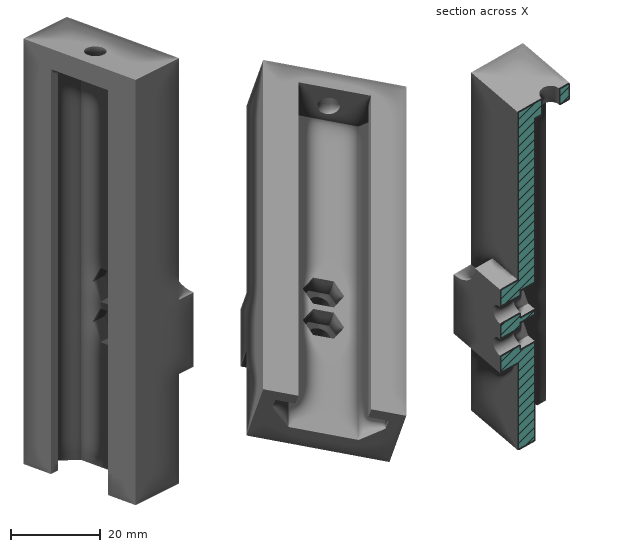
import cadquery as cq

width = 33.0
height = 105.0
body_depth = 14.9

end_wall = 5.0
mouth_width = 16.8
lip_thickness = 2.5
channel_depth = 10.0
floor_width = 16.2
cavity_width = 26.0

pad_thickness = 5.0
pad_bottom = 27.0
pad_top = 52.9
corner_radius = 7.6

bolt_diameter = 5.2
nut_corners = 9.6
nut_depth = 4.2
lower_bolt_z = 35.0
bolt_spacing = 10.0

end_hole_diameter = 5.0
end_hole_y = 5.5

back_y = body_depth + pad_thickness


def make_body():
    return cq.Workplane("XY").box(width, body_depth, height, centered=(True, False, False))


def make_pad():
    pad_height = pad_top - pad_bottom
    pad = (
        cq.Workplane("XY")
        .box(width, pad_thickness, pad_height, centered=(True, False, False))
        .translate((0, body_depth, pad_bottom))
    )
    corner_cuts = (
        cq.Workplane("XZ", origin=(0, back_y, 0))
        .pushPoints([(-width / 2, pad_top), (width / 2, pad_top)])
        .circle(corner_radius)
        .extrude(pad_thickness)
    )
    return pad.cut(corner_cuts)


def make_channel():
    mouth = mouth_width / 2
    floor = floor_width / 2
    cavity = cavity_width / 2
    slope_start_y = channel_depth - (cavity - floor)
    right_side = [
        (mouth, 0),
        (mouth, lip_thickness),
        (cavity, lip_thickness),
        (cavity, slope_start_y),
        (floor, channel_depth),
    ]
    left_side = [(-x, y) for x, y in reversed(right_side)]
    return cq.Workplane("XY").polyline(right_side + left_side).close().extrude(height - end_wall)


def make_bolt_cut(z):
    hole = (
        cq.Workplane("XZ", origin=(0, back_y, z))
        .circle(bolt_diameter / 2)
        .extrude(back_y)
    )
    nut_pocket = (
        cq.Workplane("XZ", origin=(0, channel_depth, z))
        .polygon(6, nut_corners)
        .extrude(-nut_depth)
    )
    return hole.union(nut_pocket)


def make_end_hole():
    return (
        cq.Workplane("XY", origin=(0, end_hole_y, height - end_wall))
        .circle(end_hole_diameter / 2)
        .extrude(end_wall)
    )


result = make_body().union(make_pad()).cut(make_channel()).cut(make_end_hole())
for bolt_z in (lower_bolt_z, lower_bolt_z + bolt_spacing):
    result = result.cut(make_bolt_cut(bolt_z))